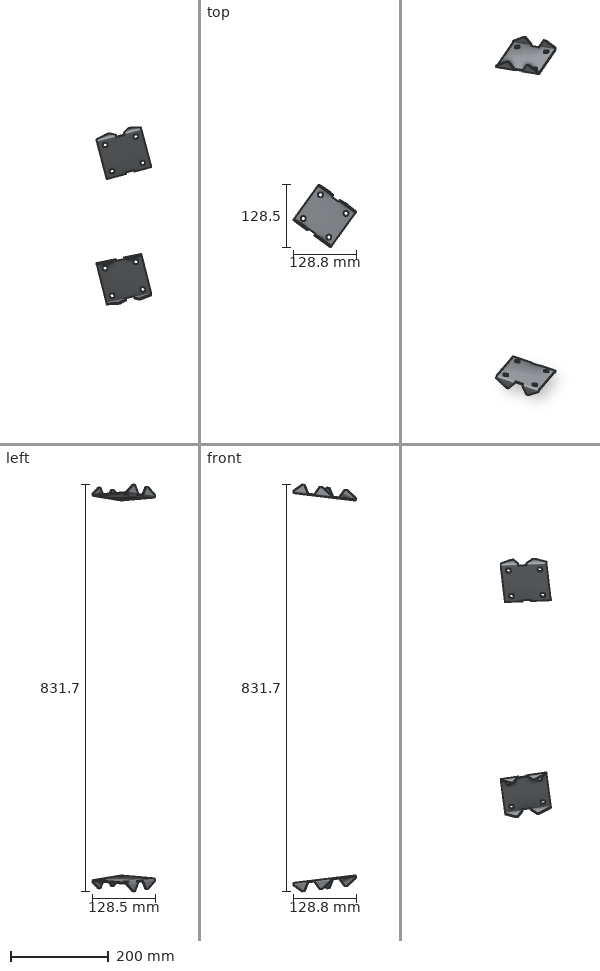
import cadquery as cq

length = 94.8
width = 90.0
thickness = 3.0
bend_radius_inside = 1.5
bend_radius_outside = bend_radius_inside + thickness

hole_diameter = 10.2
hole_pitch_length = 65.0
hole_pitch_width = 60.0

ear_height = 20.0
ear_end_height = 5.2
gap_middle = -2.6
gap_half_width = 8.6
ear_tip_start = 20.2
ear_tip_width = 4.4
ear_tip_end = ear_tip_start + ear_tip_width

turn_angle = 36.0
tilt_angle = 6.88
overall_height = 831.72


def bent_sheet():
    """Channel of full-height flanges, before the ears are cut from it."""
    half_outside = width / 2
    half_inside = half_outside - thickness
    half_flat = half_outside - bend_radius_outside
    profile = (
        cq.Workplane("YZ")
        .moveTo(-half_outside, ear_height)
        .lineTo(-half_outside, bend_radius_outside)
        .radiusArc((-half_flat, 0), -bend_radius_outside)
        .lineTo(half_flat, 0)
        .radiusArc((half_outside, bend_radius_outside), -bend_radius_outside)
        .lineTo(half_outside, ear_height)
        .lineTo(half_inside, ear_height)
        .lineTo(half_inside, bend_radius_outside)
        .radiusArc((half_flat, thickness), bend_radius_inside)
        .lineTo(-half_flat, thickness)
        .radiusArc((-half_inside, bend_radius_outside), bend_radius_inside)
        .lineTo(-half_inside, ear_height)
        .close()
    )
    return profile.extrude(length / 2, both=True)


def ear_silhouette():
    """Side outline of the sheet with its ears, extruded across the whole width."""
    end = length / 2
    return (
        cq.Workplane("XZ")
        .moveTo(-end, 0)
        .lineTo(end, 0)
        .lineTo(end, ear_end_height)
        .lineTo(gap_middle + ear_tip_end, ear_height)
        .lineTo(gap_middle + ear_tip_start, ear_height)
        .lineTo(gap_middle + gap_half_width, thickness)
        .lineTo(gap_middle - gap_half_width, thickness)
        .lineTo(gap_middle - ear_tip_start, ear_height)
        .lineTo(gap_middle - ear_tip_end, ear_height)
        .lineTo(-end, ear_end_height)
        .close()
        .extrude(width, both=True)
    )


def gap_notches():
    """Notches between the ears, as deep as the bends."""
    notch_y = (width - bend_radius_outside) / 2
    return (
        cq.Workplane("XY")
        .pushPoints([(gap_middle, -notch_y), (gap_middle, notch_y)])
        .rect(2 * gap_half_width, bend_radius_outside)
        .extrude(thickness)
    )


def mounting_holes():
    return (
        cq.Workplane("XY")
        .rect(hole_pitch_length, hole_pitch_width, forConstruction=True)
        .vertices()
        .circle(hole_diameter / 2)
        .extrude(thickness)
    )


def bracket():
    """Bracket lying flat on the XY plane with its ears pointing up."""
    eared_sheet = bent_sheet().intersect(ear_silhouette())
    return eared_sheet.cut(gap_notches()).cut(mounting_holes())


tilted_bracket = (
    bracket()
    .rotate((0, 0, 0), (0, 0, 1), -turn_angle)
    .rotate((0, 0, 0), (0, 1, 0), tilt_angle)
)
lift = overall_height / 2 - tilted_bracket.val().BoundingBox().zmax
upper_bracket = tilted_bracket.translate((0, 0, lift))

lower_bracket = upper_bracket.mirror("XY")

result = cq.Compound.makeCompound([upper_bracket.val(), lower_bracket.val()])